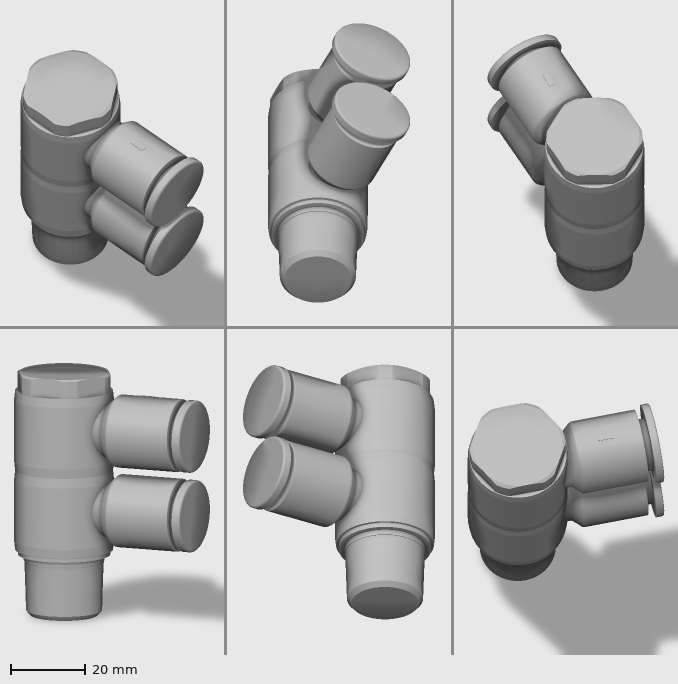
import cadquery as cq

overall_height = 66.8
tip_chamfer_top = 1.35
thread_top = 15.15
shoulder_top = 16.6
washer_top = 18.0
body_top = 61.7
body_height = (body_top - washer_top) / 2
body_joint = washer_top + body_height

tip_radius = 9.1
thread_bottom_radius = 10.3
thread_top_radius = 10.75
shoulder_radius = 10.95
washer_radius = 12.5

body_radius = 13.5
body_end_radius = 13.2
outer_taper = 2.4
inner_taper = 2.6

hex_across_flats = 24.1
hex_corner_radius = 12.95
hex_chamfer_height = 0.5

port_spacing = body_height
lower_port_height = 29.8
upper_port_height = lower_port_height + port_spacing
stub_radius = 7.5
port_radius = 9.9
flare_end = 16.15
barrel_end = 34.1
neck_radius = 7.1
neck_end = 36.0
port_end = 38.2
flare_blend = 1.0
barrel_edge_round = 0.2
collar_half_width = 11.1
collar_half_height = 9.75
collar_edge_round = 0.6

selection_margin = 0.1

mark_start = 22.05
mark_length = 4.3
mark_width = 1.6
mark_height = 0.17


def make_core():
    """Revolved stem and bodies, solid through the centre."""
    profile = [
        (0, 0),
        (tip_radius, 0),
        (thread_bottom_radius, tip_chamfer_top),
        (thread_top_radius, thread_top),
        (shoulder_radius, thread_top),
        (shoulder_radius, shoulder_top),
        (washer_radius, shoulder_top),
        (washer_radius, washer_top),
        (body_end_radius, washer_top),
        (body_radius, washer_top + outer_taper),
        (body_radius, body_joint - inner_taper),
        (body_end_radius, body_joint),
        (body_radius, body_joint + inner_taper),
        (body_radius, body_top - outer_taper),
        (body_end_radius, body_top),
        (0, body_top),
    ]
    return cq.Workplane("XZ").polyline(profile).close().revolve(360, (0, 0), (0, 1))


def make_hex_head():
    """Hexagon with flats facing +Y and -Y, trimmed by a chamfered round blank."""
    height = overall_height - body_top
    flat_radius = hex_across_flats / 2
    hexagon = (
        cq.Workplane("XY")
        .workplane(offset=body_top)
        .polygon(6, hex_across_flats, circumscribed=True)
        .extrude(height)
        .rotate((0, 0, 0), (0, 0, 1), 90)
    )
    blank = (
        cq.Workplane("XY")
        .workplane(offset=body_top)
        .circle(hex_corner_radius)
        .extrude(height)
        .faces(">Z")
        .chamfer(hex_chamfer_height, hex_corner_radius - flat_radius)
    )
    return hexagon.intersect(blank)


def rim_selector(position, radius):
    """Box around the circular edge of one radius, centred on the X axis at one position."""
    reach = radius + selection_margin
    return cq.selectors.BoxSelector(
        (position - selection_margin, -reach, -reach),
        (position + selection_margin, reach, reach),
        boundingbox=True,
    )


def make_port(axis_height):
    """Flared barrel, neck and oval release collar, with its axis at the given height."""
    profile = [
        (0, 0),
        (0, stub_radius),
        (body_radius, stub_radius),
        (flare_end, port_radius),
        (barrel_end, port_radius),
        (barrel_end, neck_radius),
        (neck_end, neck_radius),
        (neck_end, 0),
    ]
    barrel = cq.Workplane("XZ").polyline(profile).close().revolve(360, (0, 0), (1, 0))
    for rim_position, rim_radius, rounding in (
        (body_radius, stub_radius, flare_blend),
        (flare_end, port_radius, flare_blend),
        (barrel_end, port_radius, barrel_edge_round),
    ):
        barrel = barrel.edges(rim_selector(rim_position, rim_radius)).fillet(rounding)
    collar = (
        cq.Workplane("YZ")
        .workplane(offset=neck_end)
        .ellipse(collar_half_width, collar_half_height)
        .extrude(port_end - neck_end)
        .faces(">X")
        .edges()
        .fillet(collar_edge_round)
    )
    return barrel.union(collar).translate((0, 0, axis_height))


def make_index_mark(axis_height):
    """Thin flat-topped block standing on the crown of a port."""
    top = port_radius + mark_height
    block = cq.Workplane("XY").box(mark_length, mark_width, top, centered=(False, True, False))
    return block.translate((mark_start, 0, axis_height))


result = make_core().union(make_hex_head())
for port_height in (lower_port_height, upper_port_height):
    result = result.union(make_port(port_height))
result = result.union(make_index_mark(upper_port_height))